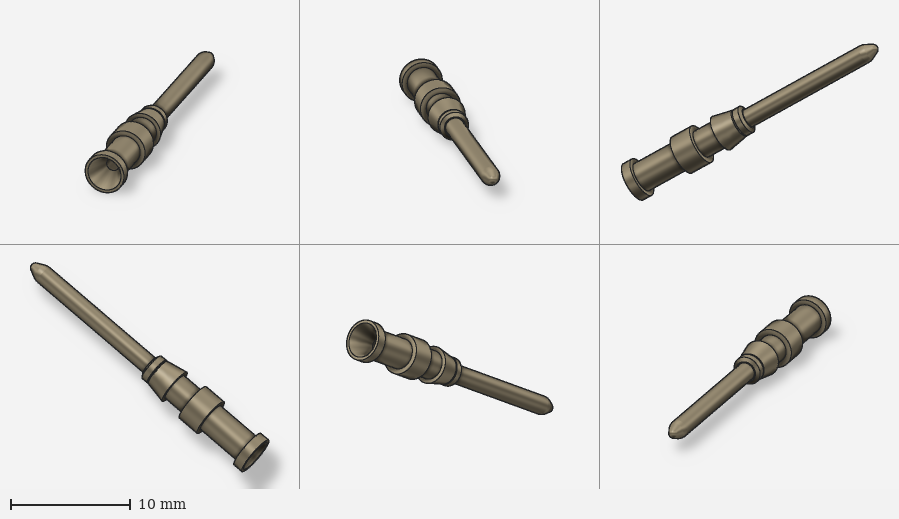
import cadquery as cq
import math

LENGTH = 25.0
BACK = -LENGTH / 2
FRONT = LENGTH / 2

FLANGE_RADIUS = 3.48 / 2
BARREL_RADIUS = 1.3
NECK_RADIUS = 2.48 / 2
BARB_RADIUS = 1.6
GROOVE_RADIUS = 0.88
RING_FRONT_RADIUS = 0.9
PIN_RADIUS = 0.8
TIP_RADIUS = 0.28

FLANGE_LENGTH = 0.88
BARREL_LENGTH = 4.12
COLLAR_LENGTH = 2.0
NECK_LENGTH = 2.02
BARB_LENGTH = 1.88
GROOVE_LENGTH = 0.12
RING_LENGTH = 0.58
RING_CHAMFER_LENGTH = 0.2
TAPER_LENGTH = 1.08

TIP_FILLET = 0.4
SHOULDER_FILLET = 1.05

MOUTH_RADIUS = 1.48
BORE_RADIUS = 1.12 / 2
FUNNEL_DEPTH = 2.0
BORE_DEPTH = 6.0
DRILL_POINT_ANGLE = 118.0

BODY_SECTIONS = [
    (FLANGE_LENGTH, FLANGE_RADIUS, FLANGE_RADIUS),
    (BARREL_LENGTH, BARREL_RADIUS, BARREL_RADIUS),
    (COLLAR_LENGTH, FLANGE_RADIUS, FLANGE_RADIUS),
    (NECK_LENGTH, NECK_RADIUS, NECK_RADIUS),
    (BARB_LENGTH, BARB_RADIUS, NECK_RADIUS),
    (GROOVE_LENGTH, GROOVE_RADIUS, GROOVE_RADIUS),
    (RING_LENGTH, NECK_RADIUS, NECK_RADIUS),
    (RING_CHAMFER_LENGTH, NECK_RADIUS, RING_FRONT_RADIUS),
]


def revolve_about_y(outline):
    """Solid of revolution from (radius, y) points that start and end on the axis."""
    return cq.Workplane("XY").polyline(outline).close().revolve(360, (0, 0), (0, 1))


def make_body():
    """Stepped body from the wire entry to the back of the pin."""
    outline = [(0, BACK)]
    position = BACK
    for length, back_radius, front_radius in BODY_SECTIONS:
        if outline[-1] != (back_radius, position):
            outline.append((back_radius, position))
        position += length
        outline.append((front_radius, position))
    outline.append((0, position))
    return revolve_about_y(outline)


def make_pin():
    """Straight pin with a rounded, tapered tip, running forward to the front end."""
    pin_start = BACK + sum(length for length, _, _ in BODY_SECTIONS)
    pin = revolve_about_y([
        (0, pin_start),
        (PIN_RADIUS, pin_start),
        (PIN_RADIUS, FRONT - TAPER_LENGTH),
        (TIP_RADIUS, FRONT),
        (0, FRONT),
    ])
    shoulder_edge = pin.edges("%CIRCLE").edges(">>Y[-2]")
    pin = shoulder_edge.fillet(SHOULDER_FILLET)
    return pin.faces(">Y").edges("%CIRCLE").fillet(TIP_FILLET)


def make_bore():
    """Conical wire entry leading to a drilled hole with a pointed bottom."""
    point_depth = BORE_RADIUS / math.tan(math.radians(DRILL_POINT_ANGLE / 2))
    return revolve_about_y([
        (0, BACK),
        (MOUTH_RADIUS, BACK),
        (BORE_RADIUS, BACK + FUNNEL_DEPTH),
        (BORE_RADIUS, BACK + BORE_DEPTH),
        (0, BACK + BORE_DEPTH + point_depth),
    ])


result = make_body().union(make_pin()).cut(make_bore())